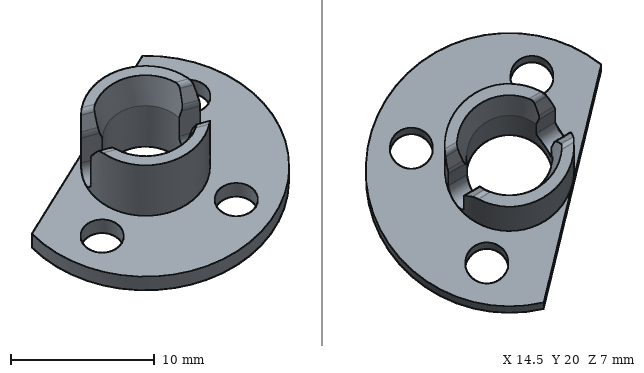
import cadquery as cq
import math

flange_radius = 9.99
flange_thickness = 1.5
mount_hole_diameter = 3.0
mount_hole_distance = 7.0

total_height = 7.0
tube_radius = 4.5
bore_radius = 3.0
mouth_radius = 3.65
mouth_depth = 2.5

slot_half_width = 1.0
flare_start_height = 5.2
flare_angle = math.radians(30)
throat_radius = 1.0
lip_radius = 0.5


def make_flange():
    disc = cq.Workplane("XY").circle(flange_radius).extrude(flange_thickness)
    keep = cq.Workplane("XY").box(
        tube_radius + flange_radius, 2 * flange_radius, flange_thickness, centered=(False, True, False)
    ).translate((-tube_radius, 0, 0))
    return disc.intersect(keep)


def make_tube():
    return (
        cq.Workplane("XY", origin=(0, 0, flange_thickness))
        .circle(tube_radius)
        .extrude(total_height - flange_thickness)
    )


def make_bore():
    """Straight bore through the part, widening conically to the mouth."""
    return (
        cq.Workplane("XZ")
        .moveTo(0, 0)
        .lineTo(bore_radius, 0)
        .lineTo(bore_radius, total_height - mouth_depth)
        .lineTo(mouth_radius, total_height)
        .lineTo(0, total_height)
        .close()
        .revolve(360, (0, 0, 0), (0, 1, 0))
    )


def arc_point(center, radius, angle):
    return (center[0] + radius * math.cos(angle), center[1] + radius * math.sin(angle))


def make_slot():
    """Round-bottomed slot whose sides flare out through tangent arcs."""
    throat_center = (slot_half_width + throat_radius, flare_start_height)
    throat_mid = arc_point(throat_center, throat_radius, math.pi - flare_angle / 2)
    throat_end = arc_point(throat_center, throat_radius, math.pi - flare_angle)

    lip_center_height = total_height - lip_radius
    lip_start_height = lip_center_height + lip_radius * math.sin(flare_angle)
    lip_start_x = throat_end[0] + (lip_start_height - throat_end[1]) * math.tan(flare_angle)
    lip_center = (lip_start_x + lip_radius * math.cos(flare_angle), lip_center_height)
    lip_start = (lip_start_x, lip_start_height)
    lip_mid = arc_point(lip_center, lip_radius, math.pi * 3 / 4 - flare_angle / 2)
    lip_end = (lip_center[0], total_height)

    def mirrored(point):
        return (-point[0], point[1])

    round_center_height = flange_thickness + slot_half_width
    across_slot = cq.Plane(origin=(0, 0, 0), xDir=(1, -1, 0), normal=(-1, -1, 0))
    return (
        cq.Workplane(across_slot)
        .moveTo(-slot_half_width, round_center_height)
        .threePointArc((0, flange_thickness), (slot_half_width, round_center_height))
        .lineTo(slot_half_width, flare_start_height)
        .threePointArc(throat_mid, throat_end)
        .lineTo(*lip_start)
        .threePointArc(lip_mid, lip_end)
        .lineTo(*mirrored(lip_end))
        .threePointArc(mirrored(lip_mid), mirrored(lip_start))
        .lineTo(*mirrored(throat_end))
        .threePointArc(mirrored(throat_mid), (-slot_half_width, flare_start_height))
        .close()
        .extrude(flange_radius, both=True)
    )


def make_mount_holes():
    centers = [(mount_hole_distance, 0), (0, mount_hole_distance), (0, -mount_hole_distance)]
    return cq.Workplane("XY").pushPoints(centers).circle(mount_hole_diameter / 2).extrude(flange_thickness)


slotted_tube = make_tube().cut(make_slot())
result = make_flange().union(slotted_tube).cut(make_bore()).cut(make_mount_holes())